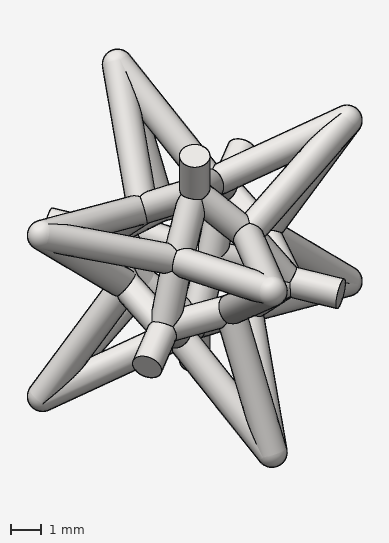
import cadquery as cq

strut_diameter = 1.0
cell_size = 10.0
axial_node = 3.2
edge_node = 1.79
tip_node = 3.93

strut_radius = strut_diameter / 2
signs = (-1, 1)
axes = (0, 1, 2)


def strut(start, end):
    """Round bar between two points, with flat ends."""
    start = cq.Vector(*start)
    along = cq.Vector(*end) - start
    return cq.Solid.makeCylinder(strut_radius, along.Length, start, along)


def ball(center):
    """Sphere that rounds the joint where struts meet."""
    return cq.Workplane("XY").sphere(strut_radius).translate(center).val()


def on_axis(axis, distance):
    """Point on one axis at a signed distance from the centre."""
    point = [0, 0, 0]
    point[axis] = distance
    return tuple(point)


def axial_pins():
    """Six flat-ended pins pointing out along the axes, rounded at their roots."""
    pieces = []
    for axis in axes:
        for sign in signs:
            root = on_axis(axis, sign * axial_node)
            end = on_axis(axis, sign * cell_size / 2)
            pieces += [strut(root, end), ball(root)]
    return pieces


def cage_and_spikes():
    """Twelve edge nodes, each joined to two pin roots and two star tips."""
    pieces = []
    for normal in axes:
        first, second = [axis for axis in axes if axis != normal]
        for first_sign in signs:
            for second_sign in signs:
                node = [0, 0, 0]
                node[first] = first_sign * edge_node
                node[second] = second_sign * edge_node
                pieces.append(ball(tuple(node)))
                pieces.append(strut(node, on_axis(first, first_sign * axial_node)))
                pieces.append(strut(node, on_axis(second, second_sign * axial_node)))
                for normal_sign in signs:
                    tip = [0, 0, 0]
                    tip[first] = first_sign * tip_node
                    tip[second] = second_sign * tip_node
                    tip[normal] = normal_sign * tip_node
                    pieces.append(strut(node, tip))
    return pieces


def star_tips():
    """Eight balls capping the spikes."""
    return [ball((x * tip_node, y * tip_node, z * tip_node)) for x in signs for y in signs for z in signs]


pieces = axial_pins() + cage_and_spikes() + star_tips()
result = cq.Workplane(obj=pieces[0].fuse(*pieces[1:]))